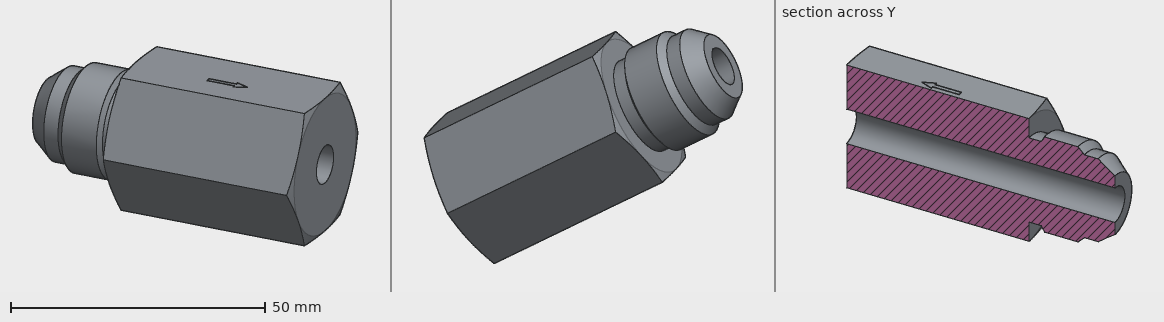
import cadquery as cq
import math

total_length = 60.33
across_flats = 28.575
across_corners = across_flats / math.cos(math.pi / 6)

tip_diameter = 13.65
nose_diameter = 19.36
thread_diameter = 22.23
neck_diameter = 19.68
bore_diameter = 7.92

nose_cone_angle = math.radians(37)
lead_in_angle = math.radians(45)
runout_angle = math.radians(60)

nose_cone_length = (nose_diameter - tip_diameter) / 2 / math.tan(nose_cone_angle)
lead_in_start = 6.88
lead_in_end = lead_in_start + (thread_diameter - nose_diameter) / 2 / math.tan(lead_in_angle)
thread_end = 15.88
neck_start = thread_end + (thread_diameter - neck_diameter) / 2 / math.tan(runout_angle)

hex_start = 19.33
hex_length = total_length - hex_start
hex_chamfer_angle = math.radians(15)
hex_chamfer_rise = (across_corners - across_flats) / 2 * math.tan(hex_chamfer_angle)

arrow_tail_x = 35.7
arrow_length = 8.6
arrow_head_length = 2.7
arrow_head_width = 2.1
arrow_shaft_width = 0.95
arrow_center_y = -1.6
arrow_depth = 0.1


def revolve_about_x(profile):
    """Turn a closed XY profile into a solid of revolution about the X axis."""
    return cq.Workplane("XY").polyline(profile).close().revolve(360, (0, 0, 0), (1, 0, 0))


def make_male_end():
    """Flared nose, thread envelope and undercut neck as one turned solid."""
    return revolve_about_x([
        (0, 0),
        (0, tip_diameter / 2),
        (nose_cone_length, nose_diameter / 2),
        (lead_in_start, nose_diameter / 2),
        (lead_in_end, thread_diameter / 2),
        (thread_end, thread_diameter / 2),
        (neck_start, neck_diameter / 2),
        (hex_start, neck_diameter / 2),
        (hex_start, 0),
    ])


def make_hex_body():
    """Hexagonal prism, flats up and down, with both ends turned to a chamfer."""
    prism = (
        cq.Workplane("YZ", origin=(hex_start, 0, 0))
        .polygon(6, across_corners)
        .extrude(hex_length)
    )
    chamfer_envelope = revolve_about_x([
        (hex_start, 0),
        (hex_start, across_flats / 2),
        (hex_start + hex_chamfer_rise, across_corners / 2),
        (total_length - hex_chamfer_rise, across_corners / 2),
        (total_length, across_flats / 2),
        (total_length, 0),
    ])
    return prism.intersect(chamfer_envelope)


def make_bore():
    """Plain bore along the whole axis."""
    return cq.Workplane("YZ").circle(bore_diameter / 2).extrude(total_length)


def make_flow_arrow():
    """Shallow arrow-shaped pocket, sunk from the top flat."""
    shoulder_x = arrow_length - arrow_head_length
    half_shaft = arrow_shaft_width / 2
    half_head = arrow_head_width / 2
    outline = [
        (0, -half_shaft),
        (shoulder_x, -half_shaft),
        (shoulder_x, -half_head),
        (arrow_length, 0),
        (shoulder_x, half_head),
        (shoulder_x, half_shaft),
        (0, half_shaft),
    ]
    top_flat_origin = (arrow_tail_x, arrow_center_y, across_flats / 2)
    return cq.Workplane("XY", origin=top_flat_origin).polyline(outline).close().extrude(-arrow_depth)


result = make_male_end().union(make_hex_body())
result = result.cut(make_bore()).cut(make_flow_arrow())